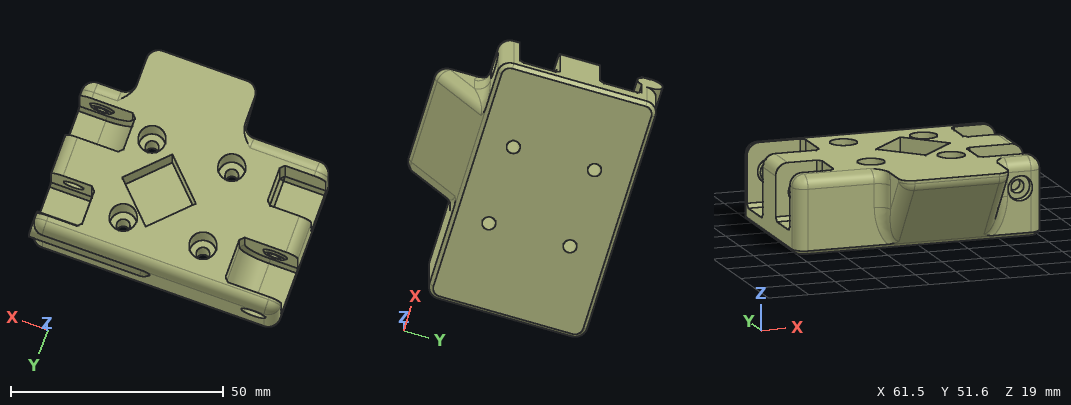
import cadquery as cq
import math

length = 61.5
depth = 38.75
height = 19.0
rounding = 3.0
base_chamfer = 1.0

tongue_width = 27.1
tongue_reach = 11.9
tongue_tip = 1.65
tongue_x = 5.3

slot_width = 10.2
wide_slot_width = 11.45
slot_chamfer = 1.0
straight_slot_length = 11.2
straight_slot_floor = 5.1
curved_slot_length = 14.25
curved_slot_floor = 3.5
curved_slot_radius = 7.4
outer_wall = 4.25
right_front_wall = 4.55
wide_slot_wall = 3.6
tool_overrun = 3.1

pivot_x = 25.1
pivot_z = 11.9
pivot_bore = 3.2
pivot_head_bore = 6.0
pivot_head_depth = 2.0
pivot_nut_bore = 5.0
pivot_nut_depth = 5.55
boss_base = 6.0
boss_top = 5.0
boss_height = 0.5

mount_pitch = 19.9
mount_x = 1.05
mount_y = -0.5
mount_bore = 3.2
mount_head_bore = 6.5
mount_head_depth = 10.0

pocket_side = 13.05
pocket_depth = mount_head_depth
pocket_y = 0.55

rod_diameter = 6.3
rod_proud = 0.9
rod_start_x = 3.0
rod_z = 13.65

front_y = -depth / 2
back_y = depth / 2
end_x = length / 2


def make_body():
    """Block with rounded vertical edges and top rim, chamfered around its base."""
    block = cq.Workplane().box(length, depth, height, centered=(True, True, False))
    block = block.edges("|Z").fillet(rounding)
    block = block.faces(">Z").edges().fillet(rounding)
    return block.faces("<Z").edges().chamfer(base_chamfer)


def make_tongue():
    """Wedge whose slope runs up from the lower front edge of the body."""
    slope = (height - tongue_tip - base_chamfer) / tongue_reach
    root_y = front_y + rounding
    root_z = base_chamfer - slope * rounding
    tip_y = front_y - tongue_reach
    tip_z = height - tongue_tip
    wedge = (
        cq.Workplane("YZ")
        .moveTo(root_y, height)
        .lineTo(tip_y, height)
        .lineTo(tip_y, tip_z)
        .lineTo(root_y, root_z)
        .close()
        .extrude(tongue_width / 2, both=True)
        .translate((tongue_x, 0, 0))
    )
    corners = wedge.edges("|Z and <Y")
    underside = wedge.faces("<Z").edges("not(>Y)")
    return corners.add(underside).fillet(rounding)


def make_rim_cutter():
    """Waste above the rounded front rim where it curls out into the tongue's left side."""
    side_x = -tongue_width / 2
    start_x = side_x - 2 * rounding
    bend_x = side_x - rounding
    half_diagonal = rounding * math.sqrt(0.5)
    rim = (
        cq.Workplane("XY")
        .moveTo(start_x, 0)
        .lineTo(start_x, rounding)
        .lineTo(bend_x, rounding)
        .threePointArc(
            (bend_x + half_diagonal, 2 * rounding - half_diagonal),
            (side_x, 2 * rounding),
        )
        .lineTo(side_x, 0)
        .close()
        .revolve(360, (0, 0, 0), (1, 0, 0))
    )
    waste = cq.Workplane().box(2 * rounding, 2 * rounding, 2 * rounding, centered=False)
    waste = waste.translate((start_x, -2 * rounding, 0))
    return waste.cut(rim).translate((0, front_y + rounding, height - rounding))


def make_neck():
    """Tongue with the strip of body behind it, blended by concave fillets."""
    strip_width = tongue_width + 4 * rounding
    strip = (
        cq.Workplane()
        .box(strip_width, rounding, height, centered=(True, False, False))
        .translate((tongue_x, front_y, 0))
    )
    base = (
        cq.Workplane()
        .box(2 * length, 2 * depth, height, centered=(True, True, False))
        .translate((0, 0, base_chamfer - height))
    )
    neck = strip.union(make_tongue()).cut(base)
    inner_corners = cq.selectors.BoxSelector(
        (tongue_x - strip_width / 2 + rounding, front_y - rounding / 2, height / 2),
        (tongue_x + strip_width / 2 - rounding, front_y + rounding / 2, height),
    )
    neck = neck.edges("|Z").edges(inner_corners).fillet(rounding)
    left_waste = make_rim_cutter()
    right_waste = left_waste.mirror("YZ")
    for waste in (left_waste, right_waste):
        neck = neck.cut(waste.translate((tongue_x, 0, 0)))
    return neck.cut(make_body())


def make_slot(side, y_near, y_far, slot_length, floor_z, floor_radius=0):
    """Tool for a slot opening upward and at the end on the given X side (-1 or 1)."""
    width = y_far - y_near
    tool = cq.Workplane().box(
        slot_length + tool_overrun, width, height - floor_z + tool_overrun,
        centered=(False, True, False),
    )
    if floor_radius:
        tool = tool.edges("|Y and <Z and >X").fillet(floor_radius)
        tool = tool.faces("<Y or >Y").edges().chamfer(slot_chamfer)
    else:
        tool = tool.edges().chamfer(slot_chamfer)
    tool = tool.translate((-end_x - tool_overrun, 0, floor_z))
    if side > 0:
        tool = tool.mirror("YZ")
    return tool.translate((0, (y_near + y_far) / 2, 0))


def make_boss(x, wall_y, direction):
    """Tapered ring standing on a slot wall and pointing along +Y (1) or -Y (-1)."""
    cone = cq.Solid.makeCone(
        boss_base / 2, boss_top / 2, boss_height,
        cq.Vector(x, wall_y, pivot_z), cq.Vector(0, direction, 0),
    )
    return cq.Workplane(cone)


def make_pivot_bore(x, outer_y, inner_y, direction):
    """Stepped bore from a head recess at outer_y to a nut recess at inner_y."""

    def cylinder(diameter, start_y, reach, way):
        return cq.Workplane(cq.Solid.makeCylinder(
            diameter / 2, reach, cq.Vector(x, start_y, pivot_z), cq.Vector(0, way, 0)))

    bore = cylinder(pivot_bore, outer_y, abs(inner_y - outer_y), direction)
    head_recess = cylinder(pivot_head_bore, outer_y, pivot_head_depth, direction)
    nut_recess = cylinder(pivot_nut_bore, inner_y, pivot_nut_depth, -direction)
    return bore.union(head_recess).union(nut_recess)


def make_rod():
    """Rod with a domed inner end, running out to the +X end."""
    rod_y = back_y + rod_proud - rod_diameter / 2
    start = cq.Vector(rod_start_x, rod_y, rod_z)
    rod = cq.Workplane(cq.Solid.makeCylinder(
        rod_diameter / 2, end_x - rod_start_x, start, cq.Vector(1, 0, 0)))
    dome = cq.Workplane("XY", origin=start.toTuple()).sphere(rod_diameter / 2)
    return rod.union(dome)


front_slot_near = front_y + outer_wall
front_slot_far = front_slot_near + slot_width
back_slot_far = back_y - outer_wall
back_slot_near = back_slot_far - slot_width
wide_slot_far = back_y - wide_slot_wall
wide_slot_near = wide_slot_far - wide_slot_width
right_front_near = front_y + right_front_wall

result = make_body().union(make_neck())

straight = (straight_slot_length, straight_slot_floor)
curved = (curved_slot_length, curved_slot_floor, curved_slot_radius)
result = result.cut(make_slot(-1, front_slot_near, front_slot_far, *straight))
result = result.cut(make_slot(1, back_slot_near, back_slot_far, *straight))
result = result.cut(make_slot(-1, wide_slot_near, wide_slot_far, *curved))
result = result.cut(make_slot(1, right_front_near, front_slot_far, *curved))

for x, near, far in (
    (-pivot_x, wide_slot_near, wide_slot_far),
    (pivot_x, right_front_near, front_slot_far),
):
    result = result.union(make_boss(x, near, 1))
    result = result.union(make_boss(x, far, -1))

result = result.cut(make_pivot_bore(-pivot_x, back_y, front_slot_far, -1))
result = result.cut(make_pivot_bore(pivot_x, front_y, back_slot_near, 1))

result = result.union(make_rod())

result = (
    result.faces(">Z").workplane(origin=(mount_x, mount_y, height))
    .rect(mount_pitch, mount_pitch, forConstruction=True)
    .vertices()
    .cboreHole(mount_bore, mount_head_bore, mount_head_depth)
)
pocket = (
    cq.Workplane()
    .rect(pocket_side, pocket_side)
    .extrude(pocket_depth)
    .rotate((0, 0, 0), (0, 0, 1), 45)
    .translate((tongue_x, pocket_y, height - pocket_depth))
)
result = result.cut(pocket)